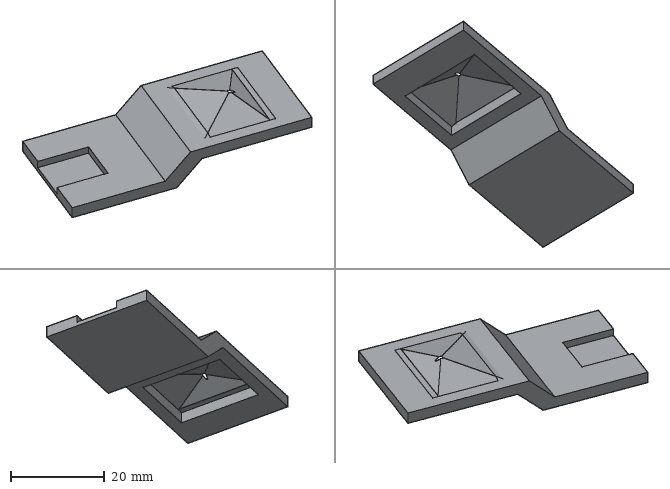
import cadquery as cq

width = 25.4
length = 56.7
thickness = 2.7
step_height = 6.0
front_run = 22.0
total_height = 11.25
plate_top = thickness + step_height

notch_width = 10.0
notch_length = 12.0
notch_depth = 1.7

pyramid_front = 32.85
pyramid_rear = 48.15
pyramid_front_width = 19.3
pyramid_rear_width = 19.05
apex_y = 43.1

skin = 0.05
cavity_front = 34.05
cavity_rear = 49.5
cavity_width = 19.5

vent_front = 42.75
vent_shoulder = 43.45
vent_rear = 44.35
vent_front_width = 0.8
vent_rear_width = 0.3

front_face_slope = (total_height - plate_top) / (vent_front - pyramid_front)
pyramid_height = front_face_slope * (apex_y - pyramid_front)
apex_z = plate_top + pyramid_height


def stepped_plate():
    """Side outline swept across the width, centred on X."""
    ramp_end = front_run + step_height
    outline = [
        (0, 0),
        (front_run + thickness, 0),
        (ramp_end + thickness, step_height),
        (length, step_height),
        (length, plate_top),
        (ramp_end, plate_top),
        (front_run, thickness),
        (0, thickness),
    ]
    return cq.Workplane("YZ").polyline(outline).close().extrude(width / 2, both=True)


def notch():
    """Rectangular cutter for the front notch."""
    return (
        cq.Workplane("XY")
        .box(notch_width, notch_length, notch_depth, centered=(True, False, False))
        .translate((0, 0, thickness - notch_depth))
    )


def pyramid(base_z):
    """Solid pyramid standing on the given height."""
    corners = [
        cq.Vector(-pyramid_front_width / 2, pyramid_front, base_z),
        cq.Vector(pyramid_front_width / 2, pyramid_front, base_z),
        cq.Vector(pyramid_rear_width / 2, pyramid_rear, base_z),
        cq.Vector(-pyramid_rear_width / 2, pyramid_rear, base_z),
    ]
    apex = cq.Vector(0, apex_y, base_z + pyramid_height)
    faces = [cq.Face.makeFromWires(cq.Wire.makePolygon(corners, close=True))]
    for start, end in zip(corners, corners[1:] + corners[:1]):
        faces.append(cq.Face.makeFromWires(cq.Wire.makePolygon([start, end, apex], close=True)))
    return cq.Workplane(cq.Solid.makeSolid(cq.Shell.makeShell(faces)))


def shaft(top_z):
    """Straight block with the cavity's footprint, rising from Z = 0."""
    return (
        cq.Workplane("XY")
        .box(cavity_width, cavity_rear - cavity_front, top_z, centered=(True, False, False))
        .translate((0, cavity_front, 0))
    )


def cavity():
    """Rectangular shaft whose roof follows the top surface one skin below it."""
    roof_z = plate_top - skin
    pointed_roof = pyramid(roof_z).intersect(shaft(apex_z))
    return shaft(roof_z).union(pointed_roof)


def vent():
    """Vertical cutter: parallel sides at the front, tapering toward the rear."""
    front_half = vent_front_width / 2
    rear_half = vent_rear_width / 2
    outline = [
        (-front_half, vent_front),
        (front_half, vent_front),
        (front_half, vent_shoulder),
        (rear_half, vent_rear),
        (-rear_half, vent_rear),
        (-front_half, vent_shoulder),
    ]
    return cq.Workplane("XY").polyline(outline).close().extrude(apex_z)


result = stepped_plate().cut(notch()).union(pyramid(plate_top)).cut(cavity()).cut(vent())